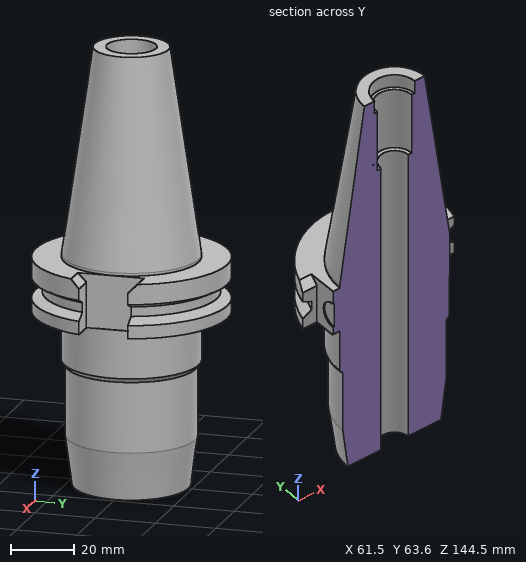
import cadquery as cq

total_height = 144.5
gauge_z = 76.1
flange_top_z = 75.1
flange_bottom_z = 57.2
neck_bottom_z = 41.2
nose_top_z = 39.6
nose_taper_z = 16.3

groove_rim_top_z = 68.5
groove_floor_top_z = 66.7
groove_floor_bottom_z = 63.5
groove_rim_bottom_z = 61.5

shank_end_radius = 12.3
gauge_radius = 22.2
flange_radius = 31.8
groove_radius = 28.3
neck_radius = 22.4
nose_radius = 21.1
nose_end_radius = 18.9

through_radius = 5.5
middle_bore_radius = 7.0
mouth_bore_radius = 8.1
mouth_bore_depth = 5.0
middle_bore_depth = 28.9

slot_width = 16.2
slot_chamfer = 2.9
left_slot_floor = 25.0
right_slot_floor = 22.5

recess_radius = 4.8
recess_depth = 0.5
recess_z = 65.1


def holder_body():
    profile = [
        (0, 0),
        (nose_end_radius, 0),
        (nose_radius, nose_taper_z),
        (nose_radius, nose_top_z),
        (neck_radius, neck_bottom_z),
        (neck_radius, flange_bottom_z),
        (flange_radius, flange_bottom_z),
        (flange_radius, groove_rim_bottom_z),
        (groove_radius, groove_floor_bottom_z),
        (groove_radius, groove_floor_top_z),
        (flange_radius, groove_rim_top_z),
        (flange_radius, flange_top_z),
        (gauge_radius, flange_top_z),
        (gauge_radius, gauge_z),
        (shank_end_radius, total_height),
        (0, total_height),
    ]
    return cq.Workplane("XZ").polyline(profile).close().revolve(360, (0, 0), (0, 1))


def drive_slot(floor_distance, side):
    """Slot with chamfered top edges; side is -1 for -X and 1 for +X."""
    half_width = slot_width / 2
    half_mouth = half_width + slot_chamfer
    section = [
        (-half_width, flange_bottom_z),
        (half_width, flange_bottom_z),
        (half_width, flange_top_z - slot_chamfer),
        (half_mouth, flange_top_z),
        (-half_mouth, flange_top_z),
        (-half_width, flange_top_z - slot_chamfer),
    ]
    return (
        cq.Workplane("YZ")
        .workplane(offset=side * floor_distance)
        .polyline(section)
        .close()
        .extrude(side * (flange_radius - floor_distance))
    )


def slot_recess():
    return (
        cq.Workplane("YZ")
        .workplane(offset=-left_slot_floor)
        .center(0, recess_z)
        .circle(recess_radius)
        .extrude(recess_depth)
    )


def bore(radius, depth):
    return cq.Workplane("XY").workplane(offset=total_height).circle(radius).extrude(-depth)


result = holder_body()
result = result.cut(drive_slot(left_slot_floor, -1))
result = result.cut(drive_slot(right_slot_floor, 1))
result = result.cut(slot_recess())
result = result.cut(bore(through_radius, total_height))
result = result.cut(bore(middle_bore_radius, middle_bore_depth))
result = result.cut(bore(mouth_bore_radius, mouth_bore_depth))